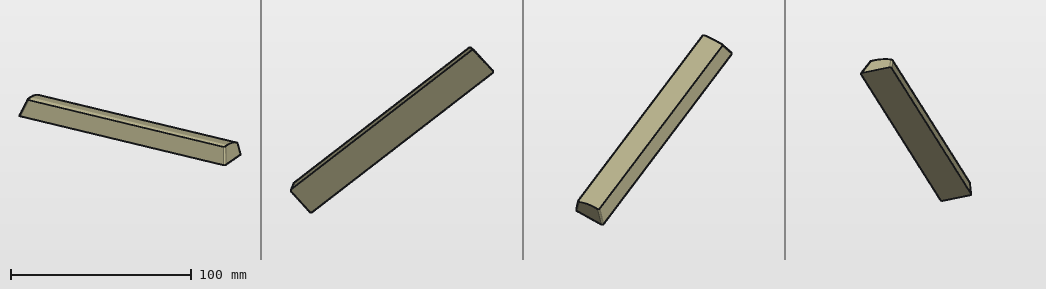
import cadquery as cq
import math

length = 132.35
width = 18.05
height = 8.99

back_height = 6.35
crown_from_back = 10.6
front_top_from_back = 13.6

end_slope_run = 2.85
corner_radius = 1.0

front_y = -width / 2
back_y = width / 2
crown_y = back_y - crown_from_back
front_top_y = back_y - front_top_from_back

crown_drop = height - back_height
crown_radius = (crown_from_back**2 + crown_drop**2) / (2 * crown_drop)
front_top_run = crown_y - front_top_y
front_top_z = height - crown_radius + math.sqrt(crown_radius**2 - front_top_run**2)


def crowned_bar():
    """Cross-section with a sloping front and a crowned top, extruded along X."""
    return (
        cq.Workplane("YZ")
        .moveTo(front_y, 0)
        .lineTo(back_y, 0)
        .lineTo(back_y, back_height)
        .threePointArc((crown_y, height), (front_top_y, front_top_z))
        .close()
        .extrude(length / 2, both=True)
    )


def sloping_end_envelope():
    """Trapezoid in XZ that leans both ends inward towards the top."""
    half_base = length / 2
    half_top = half_base - end_slope_run
    return (
        cq.Workplane("XZ")
        .polyline([(-half_base, 0), (half_base, 0), (half_top, height), (-half_top, height)])
        .close()
        .extrude(width / 2, both=True)
    )


def round_corners(body):
    """Round the four edges where the ends meet the sloping front and the upright back."""
    for long_face in ("<Y", ">Y"):
        body = body.faces(long_face).edges("not |X").fillet(corner_radius)
    return body


result = round_corners(crowned_bar().intersect(sloping_end_envelope()))